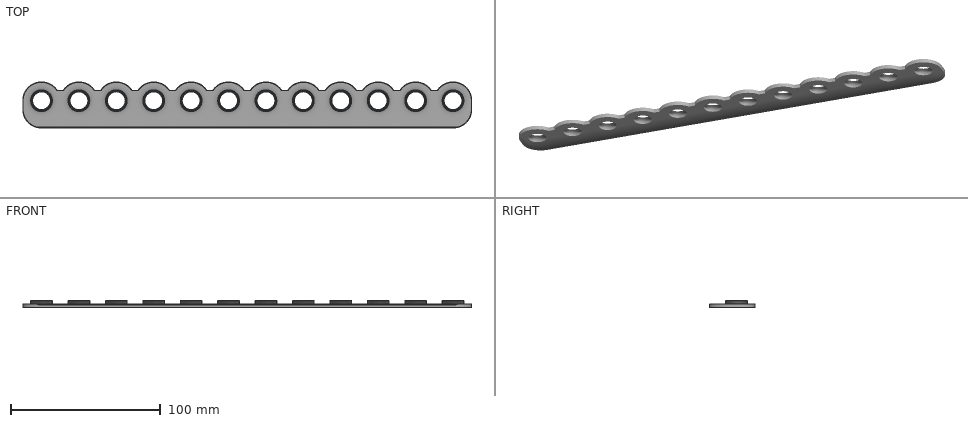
import cadquery as cq
import math

hole_count = 12
pitch = 25.0
plate_width = 30.68
plate_thickness = 2.54
total_height = 4.92
hole_diameter = 12.0
boss_diameter = 14.5
notch_depth = 5.6
boss_chamfer = 0.4
edge_drop = 0.8
edge_inset = 0.5

lobe_radius = pitch / 2
corner_radius = lobe_radius
plate_length = hole_count * pitch
end_x = plate_length / 2
bottom_y = lobe_radius - plate_width
hole_centers = [((i - (hole_count - 1) / 2) * pitch, 0) for i in range(hole_count)]


def plate_outline():
    """Straight bottom edge with rounded corners and a scalloped top edge."""
    notch_y = lobe_radius - notch_depth
    lobe_half_width = math.sqrt(lobe_radius**2 - notch_y**2)

    corner_inset = corner_radius * (1 - math.sqrt(0.5))

    outline = (
        cq.Workplane("XY")
        .moveTo(end_x - corner_radius, bottom_y)
        .lineTo(-end_x + corner_radius, bottom_y)
        .threePointArc(
            (-end_x + corner_inset, bottom_y + corner_inset),
            (-end_x, bottom_y + corner_radius),
        )
        .lineTo(-end_x, 0)
    )
    for x, _ in hole_centers[:-1]:
        outline = outline.threePointArc((x, lobe_radius), (x + lobe_half_width, notch_y))
        outline = outline.lineTo(x + pitch - lobe_half_width, notch_y)
    return (
        outline.threePointArc((hole_centers[-1][0], lobe_radius), (end_x, 0))
        .lineTo(end_x, bottom_y + corner_radius)
        .threePointArc(
            (end_x - corner_inset, bottom_y + corner_inset),
            (end_x - corner_radius, bottom_y),
        )
        .close()
    )


def edge_bevel_cutter():
    """Wedge that bevels the top of the straight edge and runs out into the corner arcs."""
    return (
        cq.Workplane("YZ", origin=(-end_x, 0, 0))
        .moveTo(bottom_y, plate_thickness)
        .lineTo(bottom_y + edge_inset, plate_thickness)
        .lineTo(bottom_y, plate_thickness - edge_drop)
        .close()
        .extrude(plate_length)
    )


def cylinders(diameter):
    """Full-height cylinders standing at every hole centre."""
    return cq.Workplane("XY").pushPoints(hole_centers).circle(diameter / 2).extrude(total_height)


plate = plate_outline().extrude(plate_thickness).cut(edge_bevel_cutter())
bosses = cylinders(boss_diameter).faces(">Z").chamfer(boss_chamfer)
holes = cylinders(hole_diameter)

result = plate.union(bosses).cut(holes)